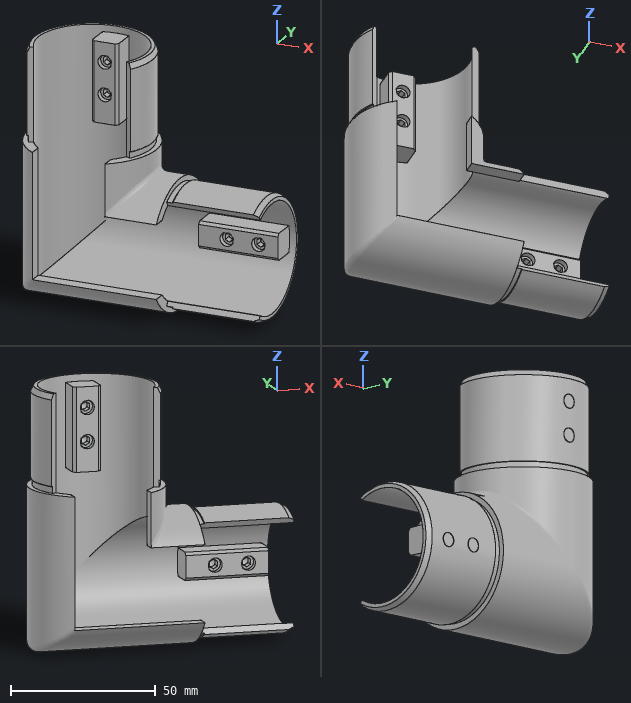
import cadquery as cq
import math

OVERALL = 92.3
ELBOW_RADIUS = 48.3 / 2
ELBOW_LENGTH = 57.3
BORE_RADIUS = 20.3
MITRE_FILLET = 2.0
SLOT_WIDTH = 27.5

SPIGOT_RADIUS = 22.7
GROOVE_RADIUS = 22.15
GROOVE_WIDTH = 2.4
TIP_CHAMFER_LENGTH = 2.0
TIP_CHAMFER_DEPTH = 1.0
OPENING_ANGLE = 120.0

BLOCK_WIDTH = 10.0
BLOCK_LENGTH = 30.0
BLOCK_FACE_Y = 10.3
BLOCK_CHAMFER = 1.0

SCREW_RADIUS = 2.5
SCREW_LENGTH = 10.0
SCREW_RECESS = 2.2
SCREW_PITCH = 12.0
SCREW_TIP_INSET = 10.0
HEX_FLATS = 2.95
SOCKET_DEPTH = 2.95
SOCKET_CONE_DEPTH = 1.0

LEG_END = OVERALL - ELBOW_RADIUS
SHOULDER = ELBOW_LENGTH - ELBOW_RADIUS
BLOCK_START = SHOULDER + GROOVE_WIDTH
SCREW_STATIONS = [LEG_END - SCREW_TIP_INSET - i * SCREW_PITCH for i in range(2)]
SCREW_CENTRES = [(0, s) for s in SCREW_STATIONS] + [(s, 0) for s in SCREW_STATIONS]
REACH = 2 * OVERALL

MITRE_PLANE = cq.Plane(origin=(0, 0, 0), xDir=(1, 0, 1), normal=(1, 0, -1))


def onto_x_leg(shape):
    """Reflect a feature of the +Z leg across the mitre plane x = z onto the +X leg."""
    return shape.mirror("XY").rotate((0, 0, 0), (0, 1, 0), -90)


def both_legs(shape):
    """A feature of the +Z leg together with its reflection on the +X leg."""
    return shape.union(onto_x_leg(shape))


def mitred_elbow(radius, length):
    """Solid round elbow whose two legs meet sharply on the mitre plane."""
    bar = cq.Workplane("XY").workplane(offset=-2 * radius).circle(radius).extrude(length + 2 * radius)
    above_mitre = (
        cq.Workplane("XZ")
        .polyline([(-REACH, -REACH), (REACH, REACH), (-REACH, REACH)])
        .close()
        .extrude(REACH, both=True)
    )
    return both_legs(bar.intersect(above_mitre))


def mitre_wedge(side, ball_path):
    """Wedge between the two planes that hold the tangent lines of a mitre fillet.

    side is -1 for the outer corner and 1 for the inner one; ball_path is the leg radius
    on which the centre of the rolling fillet ball travels.
    """
    near = side * ELBOW_RADIUS
    far = side * ball_path
    return (
        cq.Workplane("XZ")
        .polyline([(0, 0), (2 * near, 2 * far), (2 * far, 2 * near)])
        .close()
        .extrude(REACH, both=True)
    )


def tangent_chord_bar(ball_path):
    """Elliptic bar across the mitre whose surface joins the two tangent lines by straight chords."""
    half_height = (ELBOW_RADIUS + ball_path) / math.sqrt(2)
    return cq.Workplane(MITRE_PLANE).ellipse(half_height, ELBOW_RADIUS).extrude(REACH, both=True)


def rolling_ball_pipe(ball_path):
    """Ring swept by a ball of the fillet radius that touches both legs along the mitre."""
    path = cq.Workplane(MITRE_PLANE).ellipse(math.sqrt(2) * ball_path, ball_path)
    section_plane = cq.Plane(origin=(ball_path, 0, ball_path), xDir=(1, 0, 1), normal=(0, 1, 0))
    return cq.Workplane(section_plane).circle(MITRE_FILLET).sweep(path)


def round_outer_corner(elbow):
    """Convex fillet along the outer half of the mitre."""
    ball_path = ELBOW_RADIUS - MITRE_FILLET
    wedge = mitre_wedge(-1, ball_path)
    flattened_corner = wedge.intersect(tangent_chord_bar(ball_path))
    rounded_corner = flattened_corner.union(rolling_ball_pipe(ball_path).intersect(wedge))
    return elbow.cut(wedge).union(rounded_corner)


def fill_inner_corner(elbow):
    """Concave fillet along the inner half of the mitre."""
    ball_path = ELBOW_RADIUS + MITRE_FILLET
    wedge = mitre_wedge(1, ball_path)
    bridged_corner = wedge.intersect(tangent_chord_bar(ball_path))
    filleted_corner = bridged_corner.cut(rolling_ball_pipe(ball_path))
    return elbow.cut(wedge).union(filleted_corner)


def front_slot():
    """L-shaped slot that opens both legs of the elbow toward -Y."""
    leg_slot = cq.Workplane("XY").box(SLOT_WIDTH, REACH, REACH, centered=(True, False, False))
    return both_legs(leg_slot.translate((0, -REACH, -SLOT_WIDTH / 2)))


def spigot():
    """Stepped, chamfered spigot of the +Z leg, open toward -Y."""
    body = (
        cq.Workplane("XZ")
        .polyline([
            (0, SHOULDER),
            (GROOVE_RADIUS, SHOULDER),
            (GROOVE_RADIUS, BLOCK_START),
            (SPIGOT_RADIUS, BLOCK_START),
            (SPIGOT_RADIUS, LEG_END - TIP_CHAMFER_LENGTH),
            (SPIGOT_RADIUS - TIP_CHAMFER_DEPTH, LEG_END),
            (0, LEG_END),
        ])
        .close()
        .revolve(360, (0, 0), (0, 1))
    )
    half_opening = REACH * math.tan(math.radians(OPENING_ANGLE / 2))
    opening = (
        cq.Workplane("XY")
        .workplane(offset=SHOULDER)
        .polyline([(0, 0), (half_opening, -REACH), (-half_opening, -REACH)])
        .close()
        .extrude(LEG_END)
    )
    return body.cut(opening)


def clamping_block():
    """Block on the inside of the +Z spigot wall, chamfered along its two front edges."""
    back_y = (BORE_RADIUS + GROOVE_RADIUS) / 2
    depth = back_y - BLOCK_FACE_Y
    block = cq.Workplane("XY").box(BLOCK_WIDTH, depth, BLOCK_LENGTH, centered=(True, False, False))
    block = block.faces("<Y").edges("|Z").chamfer(BLOCK_CHAMFER)
    return block.translate((0, BLOCK_FACE_Y, BLOCK_START))


def screw_hole(x, z):
    """Through hole from the block face to the outside of the spigot."""
    return cq.Workplane("XZ", origin=(x, BLOCK_FACE_Y, z)).circle(SCREW_RADIUS).extrude(-ELBOW_RADIUS)


def build_housing():
    housing = fill_inner_corner(round_outer_corner(mitred_elbow(ELBOW_RADIUS, SHOULDER)))
    housing = housing.cut(front_slot())
    housing = housing.union(both_legs(spigot()))
    housing = housing.cut(mitred_elbow(BORE_RADIUS, LEG_END))
    housing = housing.union(both_legs(clamping_block()))
    for x, z in SCREW_CENTRES:
        housing = housing.cut(screw_hole(x, z))
    return housing


def build_set_screw(x, z):
    """Headless screw along Y, recessed in its block, with a cone-bottomed hex socket facing -Y."""
    face_y = BLOCK_FACE_Y + SCREW_RECESS
    face = cq.Workplane("XZ", origin=(x, face_y, z))
    across_corners = 2 * HEX_FLATS / math.sqrt(3)
    screw = face.circle(SCREW_RADIUS).extrude(-SCREW_LENGTH)
    hexagon = face.transformed(rotate=(0, 0, 90)).polygon(6, across_corners).extrude(-SOCKET_DEPTH)
    cone = (
        cq.Workplane("XY", origin=(x, face_y + SOCKET_DEPTH, z))
        .polyline([(0, 0), (HEX_FLATS / 2, 0), (0, SOCKET_CONE_DEPTH)])
        .close()
        .revolve(360, (0, 0), (0, 1))
    )
    return screw.cut(hexagon).cut(cone)


housing = build_housing()
set_screws = [build_set_screw(x, z) for x, z in SCREW_CENTRES]
bodies = [housing, *set_screws]
result = cq.Compound.makeCompound([body.solids().val() for body in bodies])